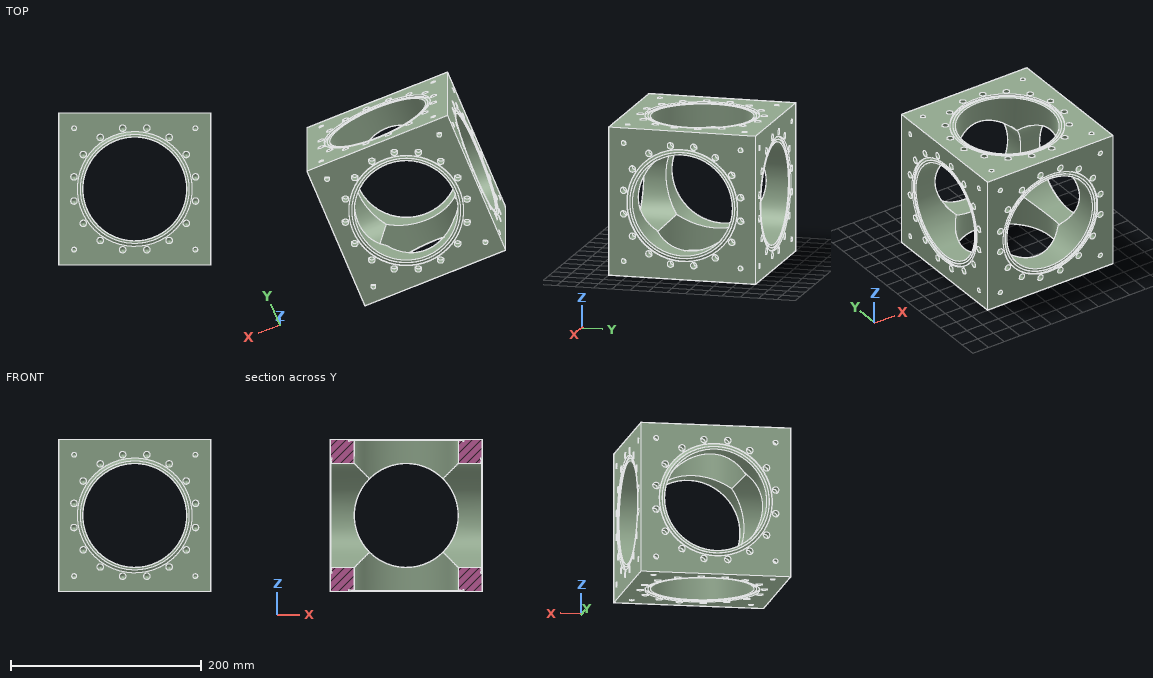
import cadquery as cq
import math

CUBE_SIDE = 160.0
BORE_DIAMETER = 109.0

SEAL_DIAMETER = 120.6
KNIFE_DIAMETER = 114.4
KNIFE_TIP_DEPTH = 0.5
KNIFE_SLOPE_ANGLE = 25.0
LAND_DEPTH = 1.2

BOLT_COUNT = 16
BOLT_CIRCLE_DIAMETER = 130.2
BOLT_HOLE_DIAMETER = 6.8
BOLT_HOLE_DEPTH = 12.0
CORNER_HOLE_DIAMETER = 5.0
CORNER_HOLE_SPACING = 127.4
CORNER_HOLE_DEPTH = 12.0
DRILL_POINT_ANGLE = 118.0

HALF_SIDE = CUBE_SIDE / 2

FACE_DIRECTIONS = [
    ((1, 0, 0), (0, 1, 0)),
    ((-1, 0, 0), (0, 1, 0)),
    ((0, 1, 0), (1, 0, 0)),
    ((0, -1, 0), (1, 0, 0)),
    ((0, 0, 1), (1, 0, 0)),
    ((0, 0, -1), (1, 0, 0)),
]


def face_plane(normal, x_direction):
    """Plane centred on one face of the cube, with its Z axis pointing out of the part."""
    origin = tuple(HALF_SIDE * component for component in normal)
    return cq.Plane(origin=origin, xDir=x_direction, normal=normal)


def revolved_about_z(profile):
    """Solid of revolution from (radius, height) points."""
    return cq.Workplane("XZ").polyline(profile).close().revolve(360, (0, 0), (0, 1)).val()


def drilled_hole(diameter, depth):
    """Blind hole going down from the origin, with a conical drill point below its full depth."""
    radius = diameter / 2
    point_length = radius / math.tan(math.radians(DRILL_POINT_ANGLE / 2))
    return revolved_about_z([(0, 0), (radius, 0), (radius, -depth), (0, -depth - point_length)])


def seal_recess():
    """Round recess whose floor rises inward to a knife edge, then drops to a flat land."""
    seal_radius = SEAL_DIAMETER / 2
    knife_radius = KNIFE_DIAMETER / 2
    slope_drop = (seal_radius - knife_radius) * math.tan(math.radians(KNIFE_SLOPE_ANGLE))
    return revolved_about_z([
        (0, 0),
        (seal_radius, 0),
        (seal_radius, -KNIFE_TIP_DEPTH - slope_drop),
        (knife_radius, -KNIFE_TIP_DEPTH),
        (knife_radius, -LAND_DEPTH),
        (0, -LAND_DEPTH),
    ])


def bolt_positions():
    """Bolt circle points, straddling the centre lines of the face."""
    radius = BOLT_CIRCLE_DIAMETER / 2
    step = 2 * math.pi / BOLT_COUNT
    angles = [(index + 0.5) * step for index in range(BOLT_COUNT)]
    return [(radius * math.cos(angle), radius * math.sin(angle)) for angle in angles]


def corner_positions():
    """One point near each corner of the face."""
    offset = CORNER_HOLE_SPACING / 2
    return [(x, y) for x in (-offset, offset) for y in (-offset, offset)]


def face_cutters():
    """Everything cut into one face, placed with the face at Z = 0 and the part below it."""
    bolt_hole = drilled_hole(BOLT_HOLE_DIAMETER, BOLT_HOLE_DEPTH)
    corner_hole = drilled_hole(CORNER_HOLE_DIAMETER, CORNER_HOLE_DEPTH)
    bolt_holes = [bolt_hole.translate(cq.Vector(x, y, 0)) for x, y in bolt_positions()]
    corner_holes = [corner_hole.translate(cq.Vector(x, y, 0)) for x, y in corner_positions()]
    return [seal_recess()] + bolt_holes + corner_holes


def bored_cube():
    """Cube with a through bore along each axis."""
    cube = cq.Workplane("XY").box(CUBE_SIDE, CUBE_SIDE, CUBE_SIDE)
    for plane_name in ("XY", "XZ", "YZ"):
        bore = cq.Workplane(plane_name).circle(BORE_DIAMETER / 2).extrude(HALF_SIDE, both=True)
        cube = cube.cut(bore)
    return cube


def cut_faces(body):
    """Cut the seal recess and the holes into all six faces."""
    cutters = face_cutters()
    for normal, x_direction in FACE_DIRECTIONS:
        plane = face_plane(normal, x_direction)
        placed = [cutter.moved(cq.Location(plane)) for cutter in cutters]
        body = cq.Workplane(body.val().cut(*placed))
    return body


machined = cut_faces(bored_cube())
result = cq.Workplane(machined.solids().val())